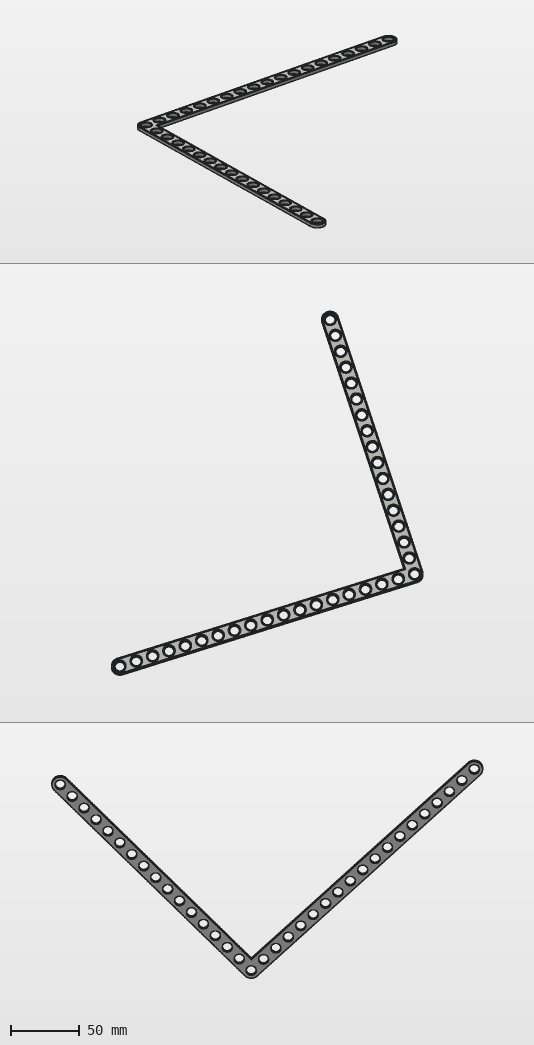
import cadquery as cq

longest_side = 237.5
holes_along_x = 17
holes_along_y = 19
thickness = 3.0

edge_chamfer = 0.3
rim_width = 1.1
pocket_depth = 0.2
rim_gap = 3.3

pitch = longest_side / holes_along_y
strip_width = pitch
rim_diameter = pitch - rim_gap
hole_diameter = rim_diameter - 2 * rim_width

hole_centres = [(i * pitch, 0) for i in range(holes_along_x)]
hole_centres += [(0, i * pitch) for i in range(1, holes_along_y)]


def strip(hole_count, width, height, angle):
    """Round-ended strip from the corner hole, pointing along the given angle."""
    span = (hole_count - 1) * pitch
    return (
        cq.Workplane("XY")
        .center(span / 2, 0)
        .slot2D(span + width, width)
        .extrude(height)
        .rotate((0, 0, 0), (0, 0, 1), angle)
    )


def angle_plate(width, height):
    """L shape of two strips, with the corner hole at the origin and its underside on Z = 0."""
    return strip(holes_along_x, width, height, 0).union(strip(holes_along_y, width, height, 90))


def pocket():
    """Shallow recess inside the outline rim that leaves a round rim standing at every hole."""
    floor_width = strip_width - 2 * rim_width
    rims = cq.Workplane("XY").pushPoints(hole_centres).circle(rim_diameter / 2).extrude(pocket_depth)
    return angle_plate(floor_width, pocket_depth).cut(rims).translate((0, 0, thickness - pocket_depth))


def hole_cutters():
    """Through holes, flared at both ends by the edge chamfer."""
    radius = hole_diameter / 2
    flared_radius = radius + edge_chamfer
    cutter = (
        cq.Workplane("XZ")
        .moveTo(0, 0)
        .lineTo(flared_radius, 0)
        .lineTo(radius, edge_chamfer)
        .lineTo(radius, thickness - edge_chamfer)
        .lineTo(flared_radius, thickness)
        .lineTo(0, thickness)
        .close()
        .revolve(360, (0, 0, 0), (0, 1, 0))
        .val()
    )
    return cq.Workplane("XY").pushPoints(hole_centres).eachpoint(lambda place: cutter.moved(place))


plate = angle_plate(strip_width, thickness)
plate = plate.faces(">Z or <Z").edges().chamfer(edge_chamfer)

result = plate.cut(hole_cutters()).cut(pocket())